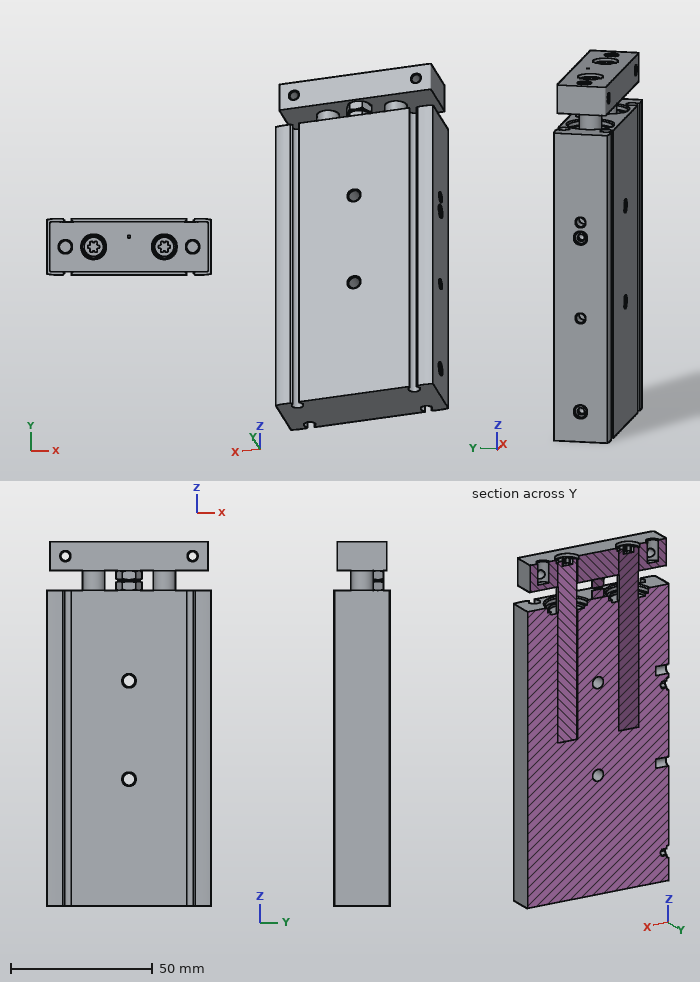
import cadquery as cq
import math

total_height = 129.0
housing_length = 58.0
housing_width = 20.0
housing_height = 111.7
plate_length = 56.0
plate_width = 17.7
plate_height = 10.3
plate_edge_radius = 0.5

crown_length = 3.0
crown_drop = 0.4

groove_spacing = 43.1
groove_diameter = 4.1
groove_throat = 2.3
groove_axis_depth = 2.3
groove_mouth_chamfer = 0.8

rod_spacing = 25.0
rod_diameter = 8.0
rod_depth = 51.6
rod_end_chamfer = 0.58
rod_end_recess = 0.8
seat_diameter = 16.0
seat_chamfer = 0.5
seat_depth = 1.9
inner_seat_diameter = 13.5
inner_seat_depth = 2.8
plate_seat_diameter = 9.0
plate_seat_depth = 1.3

socket_core_diameter = 3.0
socket_lobe_diameter = 1.2
socket_lobe_circle = 3.1
socket_lobes = 6
socket_depth = 1.9

hex_across_flats = 8.0
hex_face_diameter = 8.0
hex_chamfer_angle = 30.0
collar_diameter = 6.8
collar_height = 0.6
stop_y = 3.6
stop_shank_diameter = 5.0
stop_shank_depth = 5.2
pilot_diameter = 1.0
pilot_depth = 1.3

large_hole_diameter = 4.3
large_mouth_diameter = 5.0
small_hole_diameter = 3.2
small_mouth_diameter = 3.9
mount_hole_z = (44.9, 79.7)
side_hole_depth = 5.2
plate_hole_spacing = 45.0
plate_top_hole_depth = 8.0

port_z = (11.0, 74.0)
port_depth = 0.8
port_socket_flats = 2.5
port_socket_depth = 1.9
port_tip_angle = 118.0

plate_bottom = total_height - plate_height
plate_middle = plate_bottom + plate_height / 2
hex_height = (plate_bottom - housing_height - collar_height) / 2
collar_bottom = housing_height + hex_height
nut_bottom = collar_bottom + collar_height
rod_xs = (-rod_spacing / 2, rod_spacing / 2)
plate_hole_xs = (-plate_hole_spacing / 2, plate_hole_spacing / 2)


def cylinder(diameter, length, start, direction):
    """Solid cylinder that runs from the start point along the direction."""
    return cq.Workplane(cq.Solid.makeCylinder(diameter / 2, length, cq.Vector(*start), cq.Vector(*direction)))


def countersink(mouth_diameter, hole_diameter, start, direction):
    """45 degree cone that chamfers the mouth of a hole."""
    depth = (mouth_diameter - hole_diameter) / 2
    cone = cq.Solid.makeCone(
        mouth_diameter / 2, hole_diameter / 2, depth, cq.Vector(*start), cq.Vector(*direction)
    )
    return cq.Workplane(cone)


def chamfered_hole(hole_diameter, mouth_diameter, depth, start, direction):
    """Cutter for a hole with a chamfered mouth at the start point."""
    hole = cylinder(hole_diameter, depth, start, direction)
    return hole.union(countersink(mouth_diameter, hole_diameter, start, direction))


def through_hole_y(hole_diameter, mouth_diameter, x, z, width):
    """Cutter for a hole along Y, chamfered at both ends."""
    front_end = chamfered_hole(hole_diameter, mouth_diameter, width, (x, -width / 2, z), (0, 1, 0))
    back_end = countersink(mouth_diameter, hole_diameter, (x, width / 2, z), (0, -1, 0))
    return front_end.union(back_end)


def housing_block():
    """Extruded bar whose broad faces curve down towards the narrow sides."""
    half_x = housing_length / 2
    half_y = housing_width / 2
    flat_x = half_x - crown_length
    side_y = half_y - crown_drop
    crown_radius = (crown_length**2 + crown_drop**2) / (2 * crown_drop)
    half_angle = math.asin(crown_length / crown_radius) / 2
    mid_x = flat_x + crown_radius * math.sin(half_angle)
    mid_y = half_y - crown_radius * (1 - math.cos(half_angle))
    return (
        cq.Workplane("XY")
        .moveTo(-flat_x, -half_y)
        .lineTo(flat_x, -half_y)
        .threePointArc((mid_x, -mid_y), (half_x, -side_y))
        .lineTo(half_x, side_y)
        .threePointArc((mid_x, mid_y), (flat_x, half_y))
        .lineTo(-flat_x, half_y)
        .threePointArc((-mid_x, mid_y), (-half_x, side_y))
        .lineTo(-half_x, -side_y)
        .threePointArc((-mid_x, -mid_y), (-flat_x, -half_y))
        .close()
        .extrude(housing_height)
    )


def sensor_groove():
    """Cutter for the groove near the +X, +Y corner: round channel, throat and outer lip chamfer."""
    axis_x = groove_spacing / 2
    face_y = housing_width / 2
    axis_y = face_y - groove_axis_depth
    inner_x = axis_x - groove_throat / 2
    outer_x = axis_x + groove_throat / 2
    channel = cylinder(groove_diameter, housing_height, (axis_x, axis_y, 0), (0, 0, 1))
    throat = (
        cq.Workplane("XY")
        .polyline([
            (inner_x, axis_y),
            (outer_x, axis_y),
            (outer_x, face_y - groove_mouth_chamfer),
            (outer_x + groove_mouth_chamfer, face_y),
            (inner_x, face_y),
        ])
        .close()
        .extrude(housing_height)
    )
    return channel.union(throat)


def rod_seat(x):
    """Cutter for a rod bore and the stepped, chamfered seat around its mouth."""
    top = (x, 0, housing_height)
    down = (0, 0, -1)
    seat = chamfered_hole(seat_diameter, seat_diameter + 2 * seat_chamfer, seat_depth, top, down)
    inner_seat = cylinder(inner_seat_diameter, inner_seat_depth, top, down)
    bore = cylinder(rod_diameter, rod_depth, top, down)
    return seat.union(inner_seat).union(bore)


def air_port(z):
    """Cutter for a side port: chamfered recess whose floor holds a hexagonal socket with a conical end."""
    side_x = -housing_length / 2
    floor_x = side_x + port_depth
    inward = (1, 0, 0)
    recess = chamfered_hole(large_hole_diameter, large_mouth_diameter, port_depth, (side_x, 0, z), inward)
    socket = (
        cq.Workplane("YZ", origin=(floor_x, 0, z))
        .polygon(6, port_socket_flats / math.cos(math.pi / 6))
        .extrude(port_socket_depth)
    )
    tip_radius = port_socket_flats / 2
    tip_length = tip_radius / math.tan(math.radians(port_tip_angle / 2))
    tip_start = cq.Vector(floor_x + port_socket_depth, 0, z)
    tip = cq.Solid.makeCone(tip_radius, 0, tip_length, tip_start, cq.Vector(*inward))
    return recess.union(socket).union(cq.Workplane(tip))


def make_housing():
    """Bar with four sensor grooves, two rod seats, mounting holes and side ports."""
    body = housing_block()
    groove = sensor_groove()
    groove_pair = groove.union(groove.mirror("YZ"))
    body = body.cut(groove_pair).cut(groove_pair.mirror("XZ"))
    for x in rod_xs:
        body = body.cut(rod_seat(x))
    for z in mount_hole_z:
        body = body.cut(through_hole_y(large_hole_diameter, large_mouth_diameter, 0, z, housing_width))
        side_start = (-housing_length / 2, 0, z)
        body = body.cut(
            chamfered_hole(small_hole_diameter, small_mouth_diameter, side_hole_depth, side_start, (1, 0, 0))
        )
    for z in port_z:
        body = body.cut(air_port(z))
    return body


def make_plate():
    """Plate with seats for both rods, tapped holes near its ends and a hole for the stop bolt."""
    body = (
        cq.Workplane("XY")
        .workplane(offset=plate_bottom)
        .rect(plate_length, plate_width)
        .extrude(plate_height)
        .edges("|Z")
        .fillet(plate_edge_radius)
    )
    down = (0, 0, -1)
    for x in rod_xs:
        top_start = (x, 0, total_height)
        body = body.cut(cylinder(rod_diameter, plate_height, top_start, down))
        body = body.cut(cylinder(plate_seat_diameter, plate_seat_depth, top_start, down))
    for x in plate_hole_xs:
        top_start = (x, 0, total_height)
        body = body.cut(
            chamfered_hole(large_hole_diameter, large_mouth_diameter, plate_top_hole_depth, top_start, down)
        )
        body = body.cut(
            through_hole_y(small_hole_diameter, small_mouth_diameter, x, plate_middle, plate_width)
        )
    body = body.cut(cylinder(stop_shank_diameter, stop_shank_depth, (0, stop_y, plate_bottom), (0, 0, 1)))
    return body.cut(cylinder(pilot_diameter, pilot_depth, (0, stop_y, total_height), down))


def make_rod(x):
    """Rod from the housing bore up through the plate, with a six-lobed socket in its end."""
    rod_bottom = housing_height - rod_depth
    rod_top = total_height - rod_end_recess
    body = cylinder(rod_diameter, rod_top - rod_bottom, (x, 0, rod_bottom), (0, 0, 1))
    body = body.faces(">Z").chamfer(rod_end_chamfer)
    down = (0, 0, -1)
    body = body.cut(cylinder(socket_core_diameter, socket_depth, (x, 0, rod_top), down))
    for lobe in range(socket_lobes):
        angle = 2 * math.pi * lobe / socket_lobes
        lobe_x = x + socket_lobe_circle / 2 * math.cos(angle)
        lobe_y = socket_lobe_circle / 2 * math.sin(angle)
        body = body.cut(cylinder(socket_lobe_diameter, socket_depth, (lobe_x, lobe_y, rod_top), down))
    return body


def hex_block(bottom):
    """Hexagon with corners on the X axis and corners chamfered at both ends."""
    corner_diameter = hex_across_flats / math.cos(math.pi / 6)
    block = (
        cq.Workplane("XY")
        .workplane(offset=bottom)
        .center(0, stop_y)
        .polygon(6, corner_diameter)
        .extrude(hex_height)
    )
    face_radius = hex_face_diameter / 2
    corner_radius = corner_diameter / 2
    chamfer_height = (corner_radius - face_radius) * math.tan(math.radians(hex_chamfer_angle))
    envelope = (
        cq.Workplane("XZ")
        .polyline([
            (0, 0),
            (face_radius, 0),
            (corner_radius, chamfer_height),
            (corner_radius, hex_height - chamfer_height),
            (face_radius, hex_height),
            (0, hex_height),
        ])
        .close()
        .revolve()
        .translate((0, stop_y, bottom))
    )
    return block.intersect(envelope)


def make_stop_bolt():
    """Hexagon head on the housing and a shank that runs through the nut into the plate."""
    shank_length = plate_bottom + stop_shank_depth - collar_bottom
    shank = cylinder(stop_shank_diameter, shank_length, (0, stop_y, collar_bottom), (0, 0, 1))
    return hex_block(housing_height).union(shank)


def make_lock_nut():
    """Hexagon nut with a round collar that rests on the bolt head."""
    start = (0, stop_y, collar_bottom)
    up = (0, 0, 1)
    body = hex_block(nut_bottom).union(cylinder(collar_diameter, collar_height, start, up))
    return body.cut(cylinder(stop_shank_diameter, plate_bottom - collar_bottom, start, up))


housing = make_housing()
plate = make_plate()
rods = [make_rod(x) for x in rod_xs]
stop_bolt = make_stop_bolt()
lock_nut = make_lock_nut()

result = cq.Compound.makeCompound([
    housing.val(),
    plate.val(),
    *[rod.val() for rod in rods],
    stop_bolt.val(),
    lock_nut.val(),
])